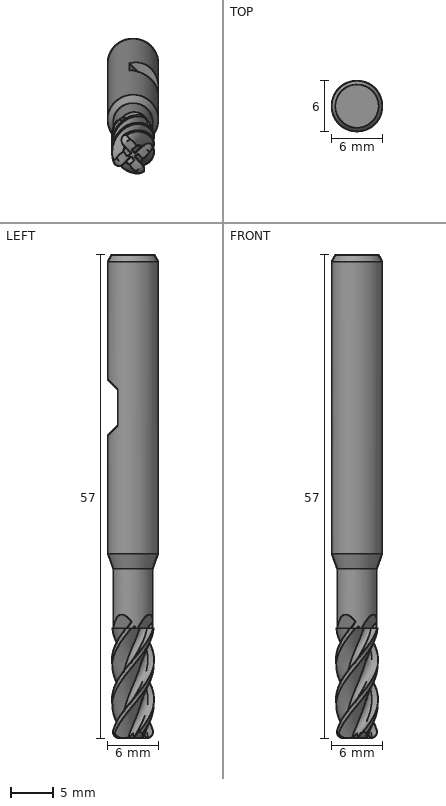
import cadquery as cq
import math

total_length = 57.0
cutting_length = 13.0
neck_end = 20.0

shank_radius = 3.0
shank_chamfer_height = 0.8
shank_chamfer_width = 0.45
flat_height_over_back = 4.8
flat_length = 4.2
flat_center_from_end = 18.0

neck_radius = 2.35
cone_half_angle = 20.0

flute_count = 4
cutter_radius = 2.5
helix_angle = 40.0
first_edge_angle = 1.5
corner_radius = 1.0
core_radius = 1.25
land_angle = 14.0
land_end_radius = 2.45
gully_bottom_angle = -32.0
rake_root_radius = 1.75
gully_mid_radius = 1.34
gully_mid_angle = -10.0
back_mid_radius = 1.95
back_mid_angle = 32.0

runout_length = 1.6
runout_facet_start = 1.75
runout_facet_angle = -16.0

end_dish_depth = 0.1
gash_depth = 0.6
gash_width = 0.6
gash_inner_radius = 0.3
end_land_width = 0.25
end_relief_width = 1.6
end_relief_rise = 0.15

flute_pitch_angle = 360.0 / flute_count
helix_lead = 2 * math.pi * cutter_radius / math.tan(math.radians(helix_angle))
twist_per_mm = 360.0 / helix_lead
runout_end = cutting_length + runout_length


def polar(radius, angle):
    a = math.radians(angle)
    return (radius * math.cos(a), radius * math.sin(a))


def twisted_flutes(length):
    """Fluted cross-section twisted along a right-hand helix from the tip."""
    section = cq.Workplane("XY").moveTo(*polar(cutter_radius, first_edge_angle))
    for tooth in range(flute_count):
        edge = first_edge_angle + tooth * flute_pitch_angle
        next_edge = edge + flute_pitch_angle
        section = (
            section
            .lineTo(*polar(land_end_radius, edge + land_angle))
            .threePointArc(
                polar(back_mid_radius, edge + back_mid_angle),
                polar(core_radius, next_edge + gully_bottom_angle),
            )
            .threePointArc(
                polar(gully_mid_radius, next_edge + gully_mid_angle),
                polar(rake_root_radius, next_edge),
            )
        )
        if tooth < flute_count - 1:
            section = section.lineTo(*polar(cutter_radius, next_edge))
    return section.close().twistExtrude(length, twist_per_mm * length)


def make_head(flutes):
    """Cutting head: flutes bounded by rounded corners and a dished tip."""
    tip_flat_radius = cutter_radius - corner_radius
    diagonal = corner_radius * math.sqrt(0.5)
    envelope = (
        cq.Workplane("XZ")
        .moveTo(0, end_dish_depth)
        .lineTo(tip_flat_radius, 0)
        .threePointArc(
            (tip_flat_radius + diagonal, corner_radius - diagonal),
            (cutter_radius, corner_radius),
        )
        .lineTo(cutter_radius, cutting_length)
        .lineTo(0, cutting_length)
        .close()
        .revolve(360, (0, 0, 0), (0, 1, 0))
    )
    head = envelope.intersect(flutes)
    for cutter in end_grinding():
        head = head.cut(cutter)
    return head


def end_grinding():
    """Cutters that gash the tip ahead of each cutting edge and relieve it behind."""
    gash = (
        cq.Workplane("YZ", origin=(gash_inner_radius, 0, 0))
        .polyline([(0, 0), (0, gash_depth), (-gash_width, 0)])
        .close()
        .extrude(cutter_radius - gash_inner_radius)
    )
    relief = (
        cq.Workplane("YZ")
        .polyline([(end_land_width, 0), (end_relief_width, end_relief_rise), (end_relief_width, 0)])
        .close()
        .extrude(cutter_radius)
    )
    for tooth in range(flute_count):
        angle = first_edge_angle + tooth * flute_pitch_angle
        for cutter in (gash, relief):
            yield cutter.rotate((0, 0, 0), (0, 0, 1), angle)


def rising_core():
    """Tapered core whose flat sides lift each flute out to the neck surface."""
    taper = math.degrees(math.atan((neck_radius - runout_facet_start) / runout_length))
    facet_turn = first_edge_angle + twist_per_mm * cutting_length + runout_facet_angle
    return (
        cq.Workplane("XY")
        .workplane(offset=cutting_length)
        .polygon(flute_count, 2 * runout_facet_start, circumscribed=True)
        .extrude(runout_length, taper=-taper)
        .rotate((0, 0, 0), (0, 0, 1), facet_turn)
    )


def make_shank(flutes):
    """Shank, cone and neck, with the flutes running out in the neck."""
    cone_end = neck_end + (shank_radius - neck_radius) / math.tan(math.radians(cone_half_angle))
    shank = (
        cq.Workplane("XZ")
        .moveTo(0, runout_end)
        .lineTo(neck_radius, runout_end)
        .lineTo(neck_radius, neck_end)
        .lineTo(shank_radius, cone_end)
        .lineTo(shank_radius, total_length - shank_chamfer_height)
        .lineTo(shank_radius - shank_chamfer_width, total_length)
        .lineTo(0, total_length)
        .close()
        .revolve(360, (0, 0, 0), (0, 1, 0))
    )
    neck_stub = (
        cq.Workplane("XY").workplane(offset=cutting_length).circle(neck_radius).extrude(runout_length)
    )
    runout = neck_stub.intersect(flutes.union(rising_core()))
    return shank.union(runout).cut(make_clamping_flat())


def make_clamping_flat():
    """Trapezoidal cutter with 45 degree ends that leaves a flat on the +Y side."""
    flat_y = flat_height_over_back - shank_radius
    depth = shank_radius - flat_y
    center_z = total_length - flat_center_from_end
    half = flat_length / 2
    return (
        cq.Workplane("YZ")
        .moveTo(flat_y, center_z - half)
        .lineTo(shank_radius, center_z - half - depth)
        .lineTo(shank_radius, center_z + half + depth)
        .lineTo(flat_y, center_z + half)
        .close()
        .extrude(shank_radius, both=True)
    )


flutes = twisted_flutes(runout_end)
head = make_head(flutes)
shank = make_shank(flutes)
result = cq.Compound.makeCompound([head.val(), shank.val()])